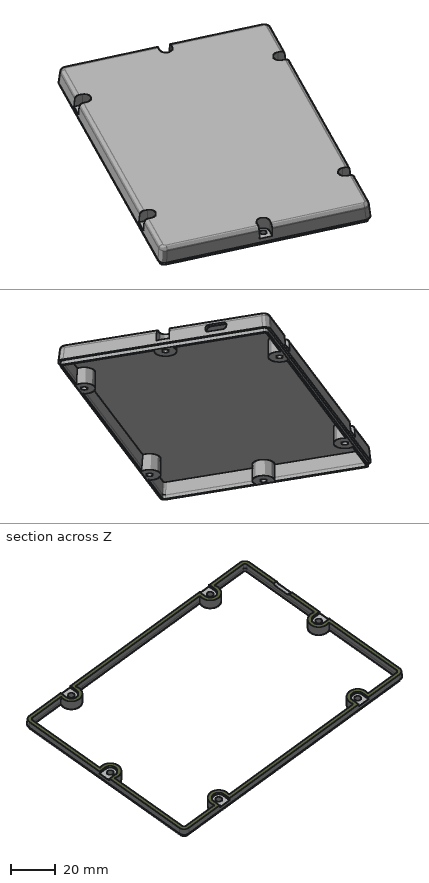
import cadquery as cq

LENGTH = 140.0
WIDTH = 100.0
HEIGHT = 10.0
CORNER_RADIUS = 3.0
DRAFT_ANGLE = 5.0
TOP_ROUND = 2.0
WALL = 2.0

LIP_HEIGHT = 2.0
LIP_INSET = 1.05

SCREW_EDGE_OFFSET = 4.0
SCREW_SPACING_X = 88.0
SCREW_HOLE_DIAMETER = 3.0
NOTCH_WIDTH = 6.0
NOTCH_FLOOR_Z = 4.0
BOSS_RADIUS = NOTCH_WIDTH / 2 + WALL

SLOT_LENGTH = 10.0
SLOT_HEIGHT = 3.6
SLOT_CENTER_Y = -25.0
SLOT_CENTER_Z = 6.0

side_x = LENGTH / 2 - SCREW_EDGE_OFFSET
side_y = WIDTH / 2 - SCREW_EDGE_OFFSET
SCREW_STATIONS = [(side * side_x, 0.0, side, 0) for side in (-1, 1)]
for side in (-1, 1):
    for x in (-SCREW_SPACING_X / 2, SCREW_SPACING_X / 2):
        SCREW_STATIONS.append((x, side * side_y, 0, side))


def drafted_block(inset, top):
    """Tapered block from the lip step up to top, with rounded vertical corners."""
    block = cq.Workplane("XY").workplane(offset=LIP_HEIGHT).rect(LENGTH - 2 * inset, WIDTH - 2 * inset)
    block = block.extrude(top - LIP_HEIGHT, taper=DRAFT_ANGLE)
    return block.edges("(not >Z) and (not <Z)").fillet(CORNER_RADIUS - inset)


def lip_block(inset):
    """Straight-sided block over the lip height, with rounded vertical corners."""
    block = cq.Workplane("XY").rect(LENGTH - 2 * inset, WIDTH - 2 * inset).extrude(LIP_HEIGHT)
    return block.edges("|Z").fillet(CORNER_RADIUS - inset)


def outer_body():
    """Drafted cover with a rounded top edge, standing on the inset lip."""
    cover = drafted_block(0, HEIGHT).faces(">Z").edges().fillet(TOP_ROUND)
    return cover.union(lip_block(LIP_INSET))


def boss(x, y):
    """Round column that encloses a screw notch inside the cavity."""
    return cq.Workplane("XY").center(x, y).circle(BOSS_RADIUS).extrude(HEIGHT)


def screw_notch(x, y, out_x, out_y):
    """Round-ended notch from the top face, open through the nearby side wall."""
    depth = HEIGHT - NOTCH_FLOOR_Z
    floor = cq.Workplane("XY").workplane(offset=NOTCH_FLOOR_Z)
    seat = floor.center(x, y).circle(NOTCH_WIDTH / 2).extrude(depth)
    run = 2 * SCREW_EDGE_OFFSET
    size_x = run if out_x else NOTCH_WIDTH
    size_y = run if out_y else NOTCH_WIDTH
    opening = floor.center(x + out_x * run / 2, y + out_y * run / 2).rect(size_x, size_y).extrude(depth)
    return seat.union(opening)


def screw_hole(x, y):
    return cq.Workplane("XY").center(x, y).circle(SCREW_HOLE_DIAMETER / 2).extrude(HEIGHT)


def connector_slot():
    """Round-ended slot through the -X wall only."""
    plane = cq.Workplane("YZ").workplane(offset=-LENGTH / 2).center(SLOT_CENTER_Y, SLOT_CENTER_Z)
    return plane.slot2D(SLOT_LENGTH, SLOT_HEIGHT).extrude(2 * WALL)


outer = outer_body()
cavity = drafted_block(WALL, HEIGHT - WALL).union(lip_block(WALL))
for x, y, out_x, out_y in SCREW_STATIONS:
    cavity = cavity.cut(boss(x, y))

result = outer.cut(cavity)
for x, y, out_x, out_y in SCREW_STATIONS:
    result = result.cut(screw_notch(x, y, out_x, out_y))
    result = result.cut(screw_hole(x, y))
result = result.cut(connector_slot())